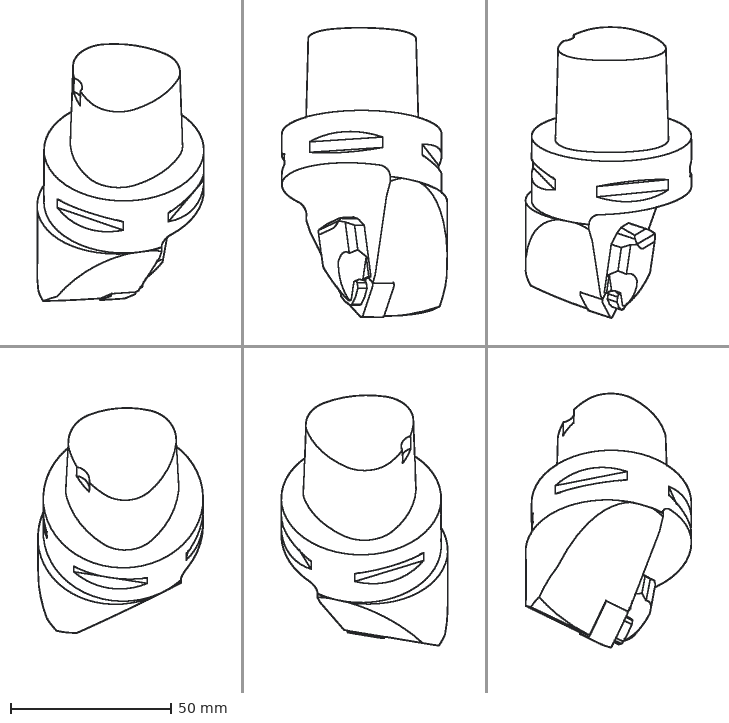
import cadquery as cq
import math

SHANK_LENGTH = 30.0
LOBE_RADIUS = 11.68
LOBE_OFFSET = 6.95
SIDE_OFFSET = 13.34
SHANK_INSET = 0.8
LOBE_COUNT = 3

NOTCH_RADIUS = 4.9
NOTCH_HEIGHT = 5.6
NOTCH_REACH = 1.55

FLANGE_RADIUS = 25.0
SLOT_FLOOR = 22.1
SLOT_FLOOR_HEIGHT = 3.4
SLOT_WALL_ANGLE = 30.0
SLOT_Z = -10.15
SLOT_COUNT = 4

HEAD_RADIUS = 25.155
HEAD_BULGE = 2.145
HEAD_OUTLINE_POINTS = 36
SHOULDER_Z = -21.1
SHOULDER_SLOPE = 0.27
TIP_Z = -59.83
RELIEF_Y = 4.95
RELIEF_Z = -16.35
RELIEF_ROOF_TILT = 4.5
RELIEF_FILLET = 3.5

RAKE_TILT = 8.6
FLANK_TIP = 0.35
KNEE_HALF_WIDTH = 10.4
UPPER_FLANK_ANGLE = 28.1
NOSE_RELIEF_START = 8.0
NOSE_RELIEF_RADIUS = 75.0
NOSE_RELIEF_SWEEP = 30.0

INSERT_SIDE = 12.7
INSERT_CORNER = 1.2
INSERT_THICKNESS = 7.94

CLAMP_HALF_WIDTH = 8.0
CLAMP_HEIGHT = 9.0
CLAMP_TOP = 31.6
CLAMP_TOP_LEAN = 0.6
CLAMP_TOP_WALL = 5.6
CLAMP_TOP_BEVEL_START = 27.5
CLAMP_TOP_BEVEL_MIDDLE = (7.9, 29.4)
CLAMP_TIP = (4.1, 5.4)
CLAMP_TIP_MIDDLE = (7.2, 10.5)
CLAMP_TIP_ROUND_END = 17.5
CLAMP_FOOT = 5.0
CLAMP_BASE_HEIGHT = 0.8
CLAMP_BASE_START = 11.0
CLAMP_POINT_START = 16.8
CLAMP_POINT_LEAN = 0.77
CLAMP_CORNER_START = 27.5
CLAMP_CORNER_WIDTH = 3.0
CLAMP_CORNER_END = 30.4
CLAMP_CROWN_WIDTH = 2.5
CLAMP_WALL_HEIGHT = 3.6
CLAMP_BEVEL_HEIGHT = 6.0
CLAMP_BEVEL_WIDTH = 1.4
CLAMP_ROUND_WIDTH = 3.0

NOSE_HEIGHT = 3.4
NOSE_END = 3.9
NOSE_END_HALF_WIDTH = 0.6
NOSE_CHEEK_START = 5.6
NOSE_CHEEK_HALF_WIDTH = 3.0
NOSE_HALF_WIDTH = 5.0
NOSE_SIDE_START = 7.95
NOSE_SIDE_END = 9.7
NOSE_BACK = 11.1
NOSE_BACK_BEVEL_HEIGHT = 1.6
NOSE_BACK_BEVEL_LENGTH = 0.6
NOSE_BACK_HALF_WIDTH = 4.2

BIG = 120.0

rake = math.radians(RAKE_TILT)
INTO_HEAD = (0, -math.cos(rake), math.sin(rake))


def rake_plane(height=0.0):
    """Plane parallel to the rake face, `height` out of it; its normal points into the head."""
    origin = tuple(-height * n + o for n, o in zip(INTO_HEAD, (0, 0, TIP_Z)))
    return cq.Plane(origin=origin, xDir=(1, 0, 0), normal=INTO_HEAD)


def side_plane(x=0.0):
    """Upright plane across X: local x runs out of the rake face, local y up it."""
    return cq.Plane(origin=(x, 0, TIP_Z), xDir=tuple(-n for n in INTO_HEAD), normal=(1, 0, 0))


LOBE_ANGLES = [90 + i * 360 / LOBE_COUNT for i in range(LOBE_COUNT)]
LOBE_TO_SIDE = 180 / LOBE_COUNT
lobe_across = LOBE_OFFSET * math.sin(math.radians(LOBE_TO_SIDE))
lobe_along = LOBE_OFFSET * math.cos(math.radians(LOBE_TO_SIDE))
CENTRE_DISTANCE = math.hypot(lobe_across, lobe_along + SIDE_OFFSET)
SIDE_HALF_ANGLE = math.degrees(math.asin(lobe_across / CENTRE_DISTANCE))
SIDE_RADIUS = LOBE_RADIUS + CENTRE_DISTANCE


def polar(radius, angle):
    a = math.radians(angle)
    return cq.Vector(radius * math.cos(a), radius * math.sin(a))


def shank_outline(inset, z):
    edges = []
    lift = cq.Vector(0, 0, z)
    for lobe_angle in LOBE_ANGLES:
        side_angle = lobe_angle + LOBE_TO_SIDE
        lobe_half_angle = LOBE_TO_SIDE - SIDE_HALF_ANGLE
        arcs = (
            (polar(LOBE_OFFSET, lobe_angle), LOBE_RADIUS - inset, lobe_angle, lobe_half_angle),
            (polar(-SIDE_OFFSET, side_angle), SIDE_RADIUS - inset, side_angle, SIDE_HALF_ANGLE),
        )
        for centre, radius, middle, half_angle in arcs:
            points = [centre + lift + polar(radius, middle + turn) for turn in (-half_angle, 0, half_angle)]
            edges.append(cq.Edge.makeThreePointArc(*points))
    return cq.Wire.assembleEdges(edges)


def make_shank():
    outlines = [shank_outline(0, 0), shank_outline(SHANK_INSET, SHANK_LENGTH)]
    shank = cq.Workplane(cq.Solid.makeLoft(outlines, True))
    side_y = SIDE_OFFSET - (SIDE_RADIUS - SHANK_INSET)
    notch = (
        cq.Workplane("XY", origin=(0, side_y + NOTCH_REACH - NOTCH_RADIUS, SHANK_LENGTH - NOTCH_HEIGHT))
        .circle(NOTCH_RADIUS).extrude(NOTCH_HEIGHT)
    )
    return shank.cut(notch)


def make_slot(angle):
    depth = FLANGE_RADIUS - SLOT_FLOOR
    floor_half = SLOT_FLOOR_HEIGHT / 2
    mouth_half = floor_half + depth * math.tan(math.radians(SLOT_WALL_ANGLE))
    return (
        cq.Workplane("XZ", origin=(0, FLANGE_RADIUS, SLOT_Z))
        .polyline([(SLOT_FLOOR, -floor_half), (FLANGE_RADIUS, -mouth_half),
                   (FLANGE_RADIUS, mouth_half), (SLOT_FLOOR, floor_half)])
        .close().extrude(2 * FLANGE_RADIUS)
        .rotate((0, 0, 0), (0, 0, 1), angle)
    )


def make_flange():
    flange = cq.Workplane("XY").circle(FLANGE_RADIUS).extrude(SHOULDER_Z)
    for i in range(SLOT_COUNT):
        flange = flange.cut(make_slot((i + 0.5) * 360 / SLOT_COUNT))
    return flange


def make_relief():
    """Space on the +Y side: a sloping roof, an upright wall and the rake face."""
    roof_z = RELIEF_Z - (FLANGE_RADIUS - RELIEF_Y) * math.tan(math.radians(RELIEF_ROOF_TILT))
    wall_end_z = TIP_Z + RELIEF_Y / math.tan(rake)
    rim_y = 2 * FLANGE_RADIUS
    rim_z = roof_z + (rim_y - RELIEF_Y) * math.tan(math.radians(RELIEF_ROOF_TILT))
    bottom_z = TIP_Z - FLANGE_RADIUS
    bottom_y = -FLANGE_RADIUS * math.tan(rake)
    relief = (
        cq.Workplane("YZ", origin=(-BIG, 0, 0))
        .polyline([(RELIEF_Y, roof_z), (rim_y, rim_z), (rim_y, bottom_z),
                   (bottom_y, bottom_z), (RELIEF_Y, wall_end_z)])
        .close().extrude(2 * BIG)
    )
    corner = cq.selectors.NearestToPointSelector((0, RELIEF_Y, roof_z))
    return relief.edges(corner).fillet(RELIEF_FILLET)


def make_flanks():
    """Pointed prism, square to the rake face, that bounds the head."""
    knee = FLANK_TIP + KNEE_HALF_WIDTH
    rise = BIG / 2
    top_half = KNEE_HALF_WIDTH + rise * math.tan(math.radians(UPPER_FLANK_ANGLE))
    return (
        cq.Workplane(rake_plane(BIG / 2))
        .polyline([(0, FLANK_TIP), (KNEE_HALF_WIDTH, knee), (top_half, knee + rise),
                   (-top_half, knee + rise), (-KNEE_HALF_WIDTH, knee)])
        .close().extrude(BIG)
    )


def make_nose_relief():
    """Round underside that rises from the flank ridge towards -Y."""
    sweep = math.radians(NOSE_RELIEF_SWEEP)
    start = (-NOSE_RELIEF_START, FLANK_TIP)

    def at(angle):
        return (start[0] - NOSE_RELIEF_RADIUS * math.sin(angle),
                start[1] + NOSE_RELIEF_RADIUS * (1 - math.cos(angle)))

    end = at(sweep)
    return (
        cq.Workplane(side_plane(-FLANGE_RADIUS))
        .moveTo(*start).threePointArc(at(sweep / 2), end)
        .lineTo(end[0], -FLANGE_RADIUS).lineTo(start[0], -FLANGE_RADIUS)
        .close().extrude(2 * FLANGE_RADIUS)
    )


def head_outline_point(turn):
    """Point of the head outline; the radius swells smoothly on the -Y side.

    `turn` counts whole turns from +Y.
    """
    angle = 2 * math.pi * turn + math.pi / 2
    swell = max(0.0, -math.sin(angle)) ** 2
    radius = HEAD_RADIUS + HEAD_BULGE * swell
    return radius * math.cos(angle), radius * math.sin(angle)


def make_head():
    outline = [head_outline_point(i / HEAD_OUTLINE_POINTS) for i in range(HEAD_OUTLINE_POINTS)]
    head = cq.Workplane("XY").spline(outline, periodic=True).close().extrude(TIP_Z)
    depth = SHOULDER_Z - TIP_Z
    below_shoulder = cq.Solid.makeCone(
        FLANGE_RADIUS + depth / SHOULDER_SLOPE, FLANGE_RADIUS, depth, cq.Vector(0, 0, TIP_Z))
    head = head.intersect(cq.Workplane(below_shoulder))
    return head.intersect(make_flanks()).cut(make_nose_relief())


def clamp_length():
    """Lengthwise outline: rounded point, flat top and bevelled upper end."""
    return (
        cq.Workplane(side_plane(-CLAMP_HALF_WIDTH))
        .moveTo(0, CLAMP_FOOT).lineTo(*CLAMP_TIP)
        .threePointArc(CLAMP_TIP_MIDDLE, (CLAMP_HEIGHT, CLAMP_TIP_ROUND_END))
        .lineTo(CLAMP_HEIGHT, CLAMP_TOP_BEVEL_START).lineTo(*CLAMP_TOP_BEVEL_MIDDLE)
        .lineTo(CLAMP_TOP_WALL, CLAMP_TOP - CLAMP_TOP_LEAN).lineTo(0, CLAMP_TOP)
        .close().extrude(2 * CLAMP_HALF_WIDTH)
    )


def clamp_section():
    """Cross section: straight walls, bevels and rounded top edges."""
    bevel_x = CLAMP_HALF_WIDTH - CLAMP_BEVEL_WIDTH
    top_x = bevel_x - CLAMP_ROUND_WIDTH
    mid = math.sqrt(0.5)
    mid_x = top_x + CLAMP_ROUND_WIDTH * mid
    mid_height = CLAMP_BEVEL_HEIGHT + (CLAMP_HEIGHT - CLAMP_BEVEL_HEIGHT) * mid
    up = (0, math.sin(rake), math.cos(rake))
    plane = cq.Plane(origin=(0, 0, TIP_Z), xDir=(1, 0, 0), normal=up)
    return (
        cq.Workplane(plane)
        .moveTo(-CLAMP_HALF_WIDTH, 0).lineTo(CLAMP_HALF_WIDTH, 0)
        .lineTo(CLAMP_HALF_WIDTH, CLAMP_WALL_HEIGHT).lineTo(bevel_x, CLAMP_BEVEL_HEIGHT)
        .threePointArc((mid_x, mid_height), (top_x, CLAMP_HEIGHT)).lineTo(-top_x, CLAMP_HEIGHT)
        .threePointArc((-mid_x, mid_height), (-bevel_x, CLAMP_BEVEL_HEIGHT))
        .lineTo(-CLAMP_HALF_WIDTH, CLAMP_WALL_HEIGHT)
        .close().extrude(CLAMP_TOP)
    )


def clamp_plan_wire(height):
    """Pointed plan outline at a height above the rake face; the point leans back as it rises."""
    half = CLAMP_HALF_WIDTH
    start = CLAMP_POINT_START + CLAMP_POINT_LEAN * height
    point = start - half / math.tan(math.radians(UPPER_FLANK_ANGLE))
    corner_x = half - CLAMP_CORNER_WIDTH
    crown_x = corner_x - CLAMP_CROWN_WIDTH
    right = [(half, start), (half, CLAMP_CORNER_START), (corner_x, CLAMP_CORNER_END), (crown_x, CLAMP_TOP)]
    left = [(-x, y) for x, y in reversed(right)]
    outline = [(0, point)] + right + left
    return cq.Workplane(rake_plane(height)).polyline(outline).close().val()


def clamp_base():
    """Thin plate under the pointed part, as wide as the clamp."""
    length = CLAMP_POINT_START - CLAMP_BASE_START
    return (
        cq.Workplane(rake_plane(CLAMP_BASE_HEIGHT))
        .center(0, CLAMP_BASE_START + length / 2)
        .rect(2 * CLAMP_HALF_WIDTH, length).extrude(CLAMP_BASE_HEIGHT)
    )


def clamp_nose():
    """Small faceted block in front of the insert."""
    right = [(NOSE_END_HALF_WIDTH, NOSE_END), (NOSE_CHEEK_HALF_WIDTH, NOSE_CHEEK_START),
             (NOSE_HALF_WIDTH, NOSE_SIDE_START), (NOSE_HALF_WIDTH, NOSE_SIDE_END),
             (NOSE_BACK_HALF_WIDTH, NOSE_BACK)]
    left = [(-x, y) for x, y in reversed(right)]
    nose = cq.Workplane(rake_plane(NOSE_HEIGHT)).polyline(right + left).close().extrude(NOSE_HEIGHT)
    top_back_edge = cq.selectors.NearestToPointSelector(
        rake_plane(NOSE_HEIGHT).toWorldCoords((0, NOSE_BACK)).toTuple())
    return nose.edges(top_back_edge).chamfer(NOSE_BACK_BEVEL_HEIGHT, NOSE_BACK_BEVEL_LENGTH)


def make_clamp():
    plan = cq.Solid.makeLoft([clamp_plan_wire(0), clamp_plan_wire(CLAMP_HEIGHT)], True)
    clamp = clamp_length().intersect(clamp_section()).intersect(cq.Workplane(plan))
    return clamp.union(clamp_base()).union(clamp_nose())


def make_insert():
    """Square plate standing on a rounded corner, its front flush with the rake face."""
    insert = (
        cq.Workplane(rake_plane())
        .center(0, INSERT_SIDE / math.sqrt(2) - INSERT_CORNER * (math.sqrt(2) - 1))
        .transformed(rotate=(0, 0, 45))
        .rect(INSERT_SIDE, INSERT_SIDE).extrude(INSERT_THICKNESS)
    )
    corners = cq.selectors.ParallelDirSelector(cq.Vector(*INTO_HEAD))
    return insert.edges(corners).fillet(INSERT_CORNER)


insert = make_insert()
holder = make_flange().union(make_head()).cut(make_relief())
holder = holder.union(make_shank()).union(make_clamp())
holder = holder.cut(insert)
result = cq.Compound.makeCompound([holder.val(), insert.val()])